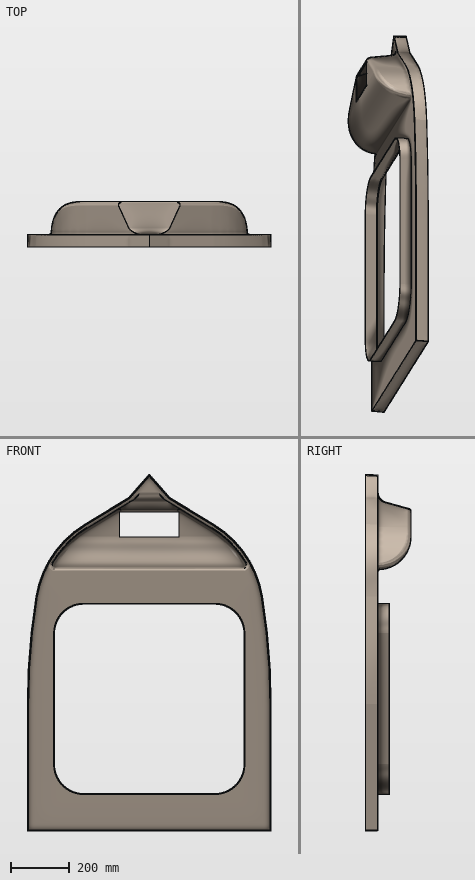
import cadquery as cq
import math

SHEET = 3.0

WIDTH = 832.61
HEIGHT = 1218.2
TRAY_DEPTH = 43.5
TRAY_DRAFT = 2.0
TIP_HALF_WIDTH = 70.5
STRAIGHT_SIDE_TOP = 434.0
FLANK_RADIUS = 2290.0
FLANK_SWEEP = 9.2
BEND_RADIUS = 356.0
BEND_SWEEP = 49.5

TOTAL_DEPTH = 155.57
HOOD_DEPTH = TOTAL_DEPTH - TRAY_DEPTH
HOOD_INSET = 12.0
HOOD_BOTTOM = 892.7
HOOD_BACK_ROUND = 15.0
HOOD_BASE_FILLET = 6.0
ROOF_HEIGHT = 1130.5
ROOF_ANGLE = 15.5
ROOF_BASE_FILLET = 33.0
ROOF_BACK_ROUND = 8.0

OPENING_WIDTH = 202.0
OPENING_TOP = 1089.0

WINDOW_SIZE = 647.0
WINDOW_RADIUS = 100.0
WINDOW_CENTRE = 451.5
FLANGE_DEPTH = 38.5

ROUND_CENTRE = HOOD_BOTTOM + HOOD_DEPTH
CUT_MARGIN = 50.0
PICK_MARGIN = 1.0


def arc_point(centre, radius, degrees):
    """Point on an arc, with the angle measured from +X."""
    angle = math.radians(degrees)
    return (centre[0] + radius * math.cos(angle), centre[1] + radius * math.sin(angle))


def mirrored(point):
    """Matching point on the other side of the symmetry plane."""
    return (-point[0], point[1])


def body_outline(y, pointed_tip):
    """Closed outline; without the pointed tip the shoulder slopes simply meet in the middle."""
    slope_angle = FLANK_SWEEP + BEND_SWEEP
    flank_centre = (WIDTH / 2 - FLANK_RADIUS, STRAIGHT_SIDE_TOP)
    flank_mid = arc_point(flank_centre, FLANK_RADIUS, FLANK_SWEEP / 2)
    flank_end = arc_point(flank_centre, FLANK_RADIUS, FLANK_SWEEP)
    bend_centre = arc_point(flank_centre, FLANK_RADIUS - BEND_RADIUS, FLANK_SWEEP)
    bend_mid = arc_point(bend_centre, BEND_RADIUS, FLANK_SWEEP + BEND_SWEEP / 2)
    bend_end = arc_point(bend_centre, BEND_RADIUS, slope_angle)
    slope = 1 / math.tan(math.radians(slope_angle))
    if pointed_tip:
        shoulder = (TIP_HALF_WIDTH, bend_end[1] + slope * (bend_end[0] - TIP_HALF_WIDTH))
        top = [shoulder, (0, HEIGHT), mirrored(shoulder)]
    else:
        top = [(0, bend_end[1] + slope * bend_end[0])]
    outline = (
        cq.Workplane("XZ", origin=(0, y, 0))
        .moveTo(-WIDTH / 2, 0)
        .lineTo(WIDTH / 2, 0)
        .lineTo(WIDTH / 2, STRAIGHT_SIDE_TOP)
        .threePointArc(flank_mid, flank_end)
        .threePointArc(bend_mid, bend_end)
    )
    for point in top + [mirrored(bend_end)]:
        outline = outline.lineTo(*point)
    return (
        outline
        .threePointArc(mirrored(bend_mid), mirrored(flank_end))
        .threePointArc(mirrored(flank_mid), (-WIDTH / 2, STRAIGHT_SIDE_TOP))
        .close()
    )


def tray_body(inset):
    """Tray envelope, inset from the outer surface.

    The walls are drafted up to the front face of the plate, where the inset cavity ends;
    the outer body adds the plate thickness without draft.
    """
    outline = body_outline(0, True)
    if inset:
        outline = outline.offset2D(-inset, "intersection")
    drafted = outline.extrude(-(TRAY_DEPTH - SHEET), taper=TRAY_DRAFT)
    if inset:
        return drafted
    plate = drafted.faces(">Y").wires().toPending().workplane().extrude(SHEET)
    return drafted.union(plate)


def hood_body(inset):
    """Hood envelope with rounded back edges, before its roof is cut."""
    start = TRAY_DEPTH / 2
    back = TOTAL_DEPTH - inset
    radius = HOOD_DEPTH - inset
    footprint = (
        body_outline(start, False)
        .offset2D(-(HOOD_INSET + inset), "intersection")
        .extrude(-(TOTAL_DEPTH - start))
    )
    bend = math.sqrt(0.5) * radius
    profile = (
        cq.Workplane("YZ", origin=(-WIDTH / 2, 0, 0))
        .moveTo(start, HEIGHT)
        .lineTo(start, ROUND_CENTRE - radius)
        .lineTo(TRAY_DEPTH, ROUND_CENTRE - radius)
        .threePointArc((TRAY_DEPTH + bend, ROUND_CENTRE - bend), (back, ROUND_CENTRE))
        .lineTo(back, HEIGHT)
        .close()
        .extrude(WIDTH)
    )
    hood = footprint.intersect(profile)
    rim = hood.faces(">Y").edges("not(|X)")
    corners = hood.edges(cq.selectors.BoxSelector(
        (-WIDTH, start + PICK_MARGIN, HOOD_BOTTOM), (WIDTH, back - PICK_MARGIN, ROUND_CENTRE)))
    return hood.newObject(rim.vals() + corners.vals()).fillet(HOOD_BACK_ROUND - inset)


def roof_cutter(inset):
    """Everything behind the plate and above the roof, including the roof's rounded ends."""
    face = TRAY_DEPTH - inset
    lowered = ROOF_HEIGHT - inset / math.cos(math.radians(ROOF_ANGLE))
    fall = math.tan(math.radians(ROOF_ANGLE))
    end = TOTAL_DEPTH - inset
    roof_start = (face, lowered + fall * inset)
    roof_end = (end, lowered - fall * (end - TRAY_DEPTH))
    far = TOTAL_DEPTH + CUT_MARGIN
    block = (
        cq.Workplane("YZ", origin=(-WIDTH / 2, 0, 0))
        .moveTo(face, HEIGHT + CUT_MARGIN)
        .lineTo(*roof_start)
        .lineTo(*roof_end)
        .lineTo(end, roof_end[1] - CUT_MARGIN)
        .lineTo(far, roof_end[1] - CUT_MARGIN)
        .lineTo(far, HEIGHT + CUT_MARGIN)
        .close()
        .extrude(WIDTH)
    )
    at_start = cq.selectors.NearestToPointSelector((0, *roof_start))
    at_end = cq.selectors.NearestToPointSelector((0, *roof_end))
    block = block.edges(at_start).fillet(ROOF_BASE_FILLET + inset)
    return block.edges(at_end).fillet(ROOF_BACK_ROUND - inset)


def envelope(inset):
    """Tray and hood as one body; the cavity is the same body inset by the sheet thickness."""
    face = TRAY_DEPTH - inset
    body = tray_body(inset).union(hood_body(inset))
    plate_face = body.faces(cq.selectors.NearestToPointSelector((0, face, HOOD_BOTTOM / 2)))
    hood_base = plate_face.val().innerWires()[0].Edges()
    body = body.newObject(hood_base).fillet(HOOD_BASE_FILLET + inset)
    return body.cut(roof_cutter(inset))


def window_prism(margin, start):
    """Rounded square window, enlarged by margin, from depth start to the end of the flange."""
    side = WINDOW_SIZE + 2 * margin
    depth = TRAY_DEPTH + FLANGE_DEPTH - start
    return (
        cq.Workplane("XZ", origin=(0, start, WINDOW_CENTRE))
        .rect(side, side)
        .extrude(-depth)
        .edges("|Y")
        .fillet(WINDOW_RADIUS + margin)
    )


def hood_opening():
    """Rectangular cut through the back wall, from the top of the quarter-round upwards."""
    height = OPENING_TOP - ROUND_CENTRE
    return (
        cq.Workplane("XZ", origin=(0, TOTAL_DEPTH - 2 * SHEET, ROUND_CENTRE + height / 2))
        .rect(OPENING_WIDTH, height)
        .extrude(-CUT_MARGIN)
    )


shell = envelope(0).cut(envelope(SHEET))
flange = window_prism(SHEET, TRAY_DEPTH - SHEET)
result = shell.union(flange).cut(window_prism(0, 0)).cut(hood_opening())